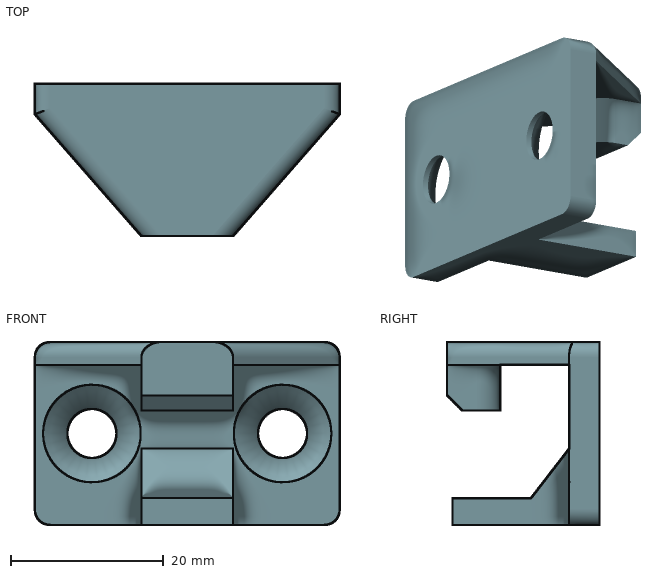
import cadquery as cq

WIDTH = 40
DEPTH = 20
HEIGHT = 24
WALL = 4
ROOF = 3.0
EDGE_RADIUS = 2
TONGUE_WIDTH = 12

HOLE_SPACING = 25.0
HOLE_DIAMETER = 6.4
SINK_DIAMETER = 12.8

ARM_LENGTH = 19.3
ARM_THICKNESS = 3.5
GUSSET_HEIGHT = 10
GUSSET_LENGTH = 5.0

LUG_DROP = 6
LUG_LENGTH = 7.0
LUG_RADIUS = 3.0
LUG_CHAMFER = 2


def make_body():
    """Back wall and tapering roof, rounded along the sides and sloping edges."""
    half_width = WIDTH / 2
    half_tongue = TONGUE_WIDTH / 2
    footprint = (
        cq.Workplane("XY")
        .moveTo(-half_width, 0)
        .lineTo(-half_width, -WALL)
        .lineTo(-half_tongue, -DEPTH)
        .lineTo(half_tongue, -DEPTH)
        .lineTo(half_width, -WALL)
        .lineTo(half_width, 0)
        .close()
        .extrude(HEIGHT)
    )
    under_roof = cq.Workplane("XY").box(
        WIDTH, DEPTH - WALL, HEIGHT - ROOF, centered=(True, False, False)
    ).translate((0, -DEPTH, 0))
    margin = 0.4
    side_edges = cq.selectors.BoxSelector(
        (-WIDTH, -DEPTH + margin, HEIGHT - margin), (WIDTH, -margin, HEIGHT + margin)
    )
    body = footprint.cut(under_roof)
    body = body.edges(side_edges).fillet(EDGE_RADIUS)
    return body.faces("<Z").edges("|Y").fillet(EDGE_RADIUS)


def make_arm():
    """Flat arm along the underside with a sloping gusset against the wall."""
    return (
        cq.Workplane("YZ")
        .moveTo(0, 0)
        .lineTo(-ARM_LENGTH, 0)
        .lineTo(-ARM_LENGTH, ARM_THICKNESS)
        .lineTo(-WALL - GUSSET_LENGTH, ARM_THICKNESS)
        .lineTo(-WALL, GUSSET_HEIGHT)
        .lineTo(0, GUSSET_HEIGHT)
        .close()
        .extrude(TONGUE_WIDTH / 2, both=True)
    )


def make_lug():
    """Lug with rounded rear corners and a chamfered lower front edge."""
    lug = cq.Workplane("XY").box(
        TONGUE_WIDTH, LUG_LENGTH, LUG_DROP, centered=(True, False, False)
    ).translate((0, -DEPTH, HEIGHT - ROOF - LUG_DROP))
    lug = lug.faces(">Y").edges("|Z").fillet(LUG_RADIUS)
    return lug.faces("<Y").edges("<Z").chamfer(LUG_CHAMFER)


def make_screw_cutter():
    """Through hole with a 90 degree countersink opening at the wall front."""
    hole_radius = HOLE_DIAMETER / 2
    sink_radius = SINK_DIAMETER / 2
    sink_depth = sink_radius - hole_radius
    return (
        cq.Workplane("XY")
        .lineTo(hole_radius, 0)
        .lineTo(hole_radius, -WALL + sink_depth)
        .lineTo(sink_radius, -WALL)
        .lineTo(0, -WALL)
        .close()
        .revolve(360, (0, 0), (0, 1))
        .translate((0, 0, HEIGHT / 2))
    )


result = make_body().union(make_arm()).union(make_lug())
for side in (-1, 1):
    result = result.cut(make_screw_cutter().translate((side * HOLE_SPACING / 2, 0, 0)))